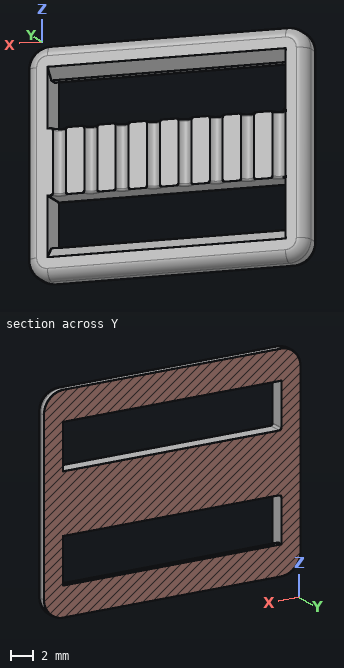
import cadquery as cq

width = 26.0
thickness = 3.0
height = 21.0
corner_radius = 2.0
edge_radius = 1.0

rail = 2.0
bar_height = 6.0
slot_width = width - 2 * rail
slot_top = height / 2 - rail
slot_bottom = bar_height / 2

slope_depth = 1.0
slope_rise = 1.0

bar_corner_radius = 0.2

groove_count = 8
groove_pitch = 2.9
groove_width = 1.2
groove_depth = 0.45
groove_end_radius = 0.2


def make_frame():
    """Rounded rectangular plate with every outer edge filleted."""
    plate = cq.Workplane("XY").box(width, thickness, height)
    plate = plate.edges("|Y").fillet(corner_radius)
    return plate.faces("<Y or >Y").edges().fillet(edge_radius)


def make_slot():
    """Cutter for the upper slot, narrowest at mid thickness."""
    half_depth = thickness / 2
    throat = half_depth - slope_depth
    slot_throat = slot_top - slope_rise
    cutter = (
        cq.Workplane("YZ")
        .moveTo(-half_depth, slot_bottom)
        .lineTo(-half_depth, slot_top)
        .lineTo(-throat, slot_throat)
        .lineTo(throat, slot_throat)
        .lineTo(half_depth, slot_top)
        .lineTo(half_depth, slot_bottom)
        .close()
        .extrude(slot_width / 2, both=True)
    )
    return cutter.edges("|Y and <X and <Z").fillet(bar_corner_radius)


def make_grooved_bar():
    """Centre bar with evenly spaced grooves whose top and bottom ends are rounded over."""
    back = thickness / 2
    grooves = cq.Workplane("XY").workplane(offset=-bar_height / 2)
    for index in range(groove_count):
        start = index * groove_pitch - slot_width / 2
        grooves = (
            grooves.moveTo(start, back)
            .threePointArc((start + groove_width / 2, back - groove_depth), (start + groove_width, back))
            .close()
        )
    bar = cq.Workplane("XY").box(slot_width, thickness, bar_height)
    grooved = bar.cut(grooves.extrude(bar_height))
    return grooved.edges("%CIRCLE").fillet(groove_end_radius)


def cut_slots(buckle):
    """Open both strap slots."""
    upper_slot = make_slot()
    return buckle.cut(upper_slot).cut(upper_slot.mirror("XY"))


bar_space = cq.Workplane("XY").box(slot_width, thickness, bar_height)
grooves = bar_space.cut(make_grooved_bar())
result = cut_slots(make_frame()).cut(grooves)